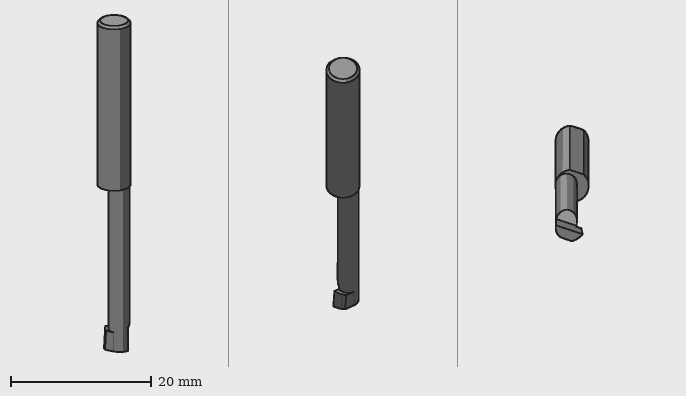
import cadquery as cq

shank_diameter = 4.76
total_length = 50.8
neck_length = total_length / 2
neck_diameter = 3.05
flat_to_far_side = 4.51
shank_chamfer = 0.38

rake_face_height = 3.7
rake_runout_height = 5.0
tooth_height = 3.2
tooth_reach = 1.62
flank_break_x = -0.95
flank_break_y = -1.12
flank_bulge = 0.065
heel_x = -0.55
tooth_lean = 0.2
end_relief_angle = 6.0
end_clearance_angle = 2.0

shank_radius = shank_diameter / 2
neck_radius = neck_diameter / 2
neck_x = shank_radius - neck_radius
flat_y = flat_to_far_side - shank_radius
cutter_size = 4 * shank_diameter


def make_shank():
    """Round shank with a chamfered end and a driving flat on the +Y side."""
    shank = (
        cq.Workplane("XY")
        .workplane(offset=neck_length)
        .circle(shank_radius)
        .extrude(total_length - neck_length)
        .faces(">Z")
        .chamfer(shank_chamfer)
    )
    flat_cutter = cq.Workplane("XY").box(
        cutter_size, cutter_size, total_length, centered=(True, False, False)
    )
    return shank.cut(flat_cutter.translate((0, flat_y, 0)))


def make_neck():
    """Slim neck whose +Y half is removed at the end to leave the rake face."""
    neck = cq.Workplane("XY").center(neck_x, 0).circle(neck_radius).extrude(neck_length)
    rake_cutter = (
        cq.Workplane("YZ")
        .moveTo(0, 0)
        .lineTo(0, rake_face_height)
        .lineTo(neck_radius, rake_runout_height)
        .lineTo(shank_diameter, rake_runout_height)
        .lineTo(shank_diameter, 0)
        .close()
        .extrude(cutter_size, both=True)
    )
    return neck.cut(rake_cutter)


def tooth_section(height, lean):
    """Tooth cross-section at a height, with its flank corners moved toward +X by lean."""
    tip = cq.Vector(lean - tooth_reach, 0)
    flank_break = cq.Vector(lean + flank_break_x, flank_break_y)
    heel = cq.Vector(lean + heel_x, -neck_radius)
    chord = flank_break - tip
    outward = cq.Vector(chord.y, -chord.x).normalized()
    flank_middle = (tip + flank_break) * 0.5 + outward * flank_bulge
    return (
        cq.Workplane("XY")
        .workplane(offset=height)
        .moveTo(tip.x, tip.y)
        .threePointArc((flank_middle.x, flank_middle.y), (flank_break.x, flank_break.y))
        .lineTo(heel.x, heel.y)
        .lineTo(neck_x, -neck_radius)
        .lineTo(neck_x, 0)
        .close()
        .wire()
        .val()
    )


def make_tooth():
    """Side tooth that blends into the neck where its back face is tangent."""
    sections = [tooth_section(0, 0), tooth_section(tooth_height, tooth_lean)]
    return cq.Workplane(cq.Solid.makeLoft(sections, True))


def make_end_cutter():
    """Block below the sloping end face, which passes through the tip."""
    return (
        cq.Workplane("XY")
        .box(cutter_size, cutter_size, shank_diameter, centered=(True, True, False))
        .translate((0, 0, -shank_diameter))
        .rotate((0, 0, 0), (1, 0, 0), -end_relief_angle)
        .rotate((0, 0, 0), (0, 1, 0), -end_clearance_angle)
        .translate((-tooth_reach, 0, 0))
    )


result = make_shank().union(make_neck()).union(make_tooth()).cut(make_end_cutter())